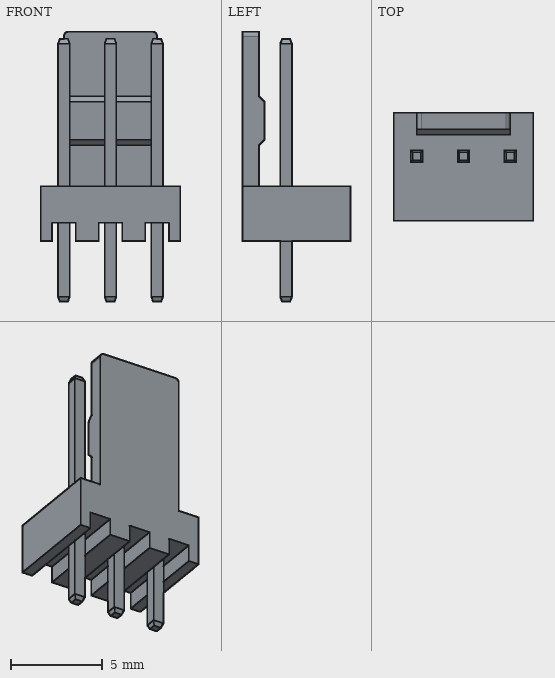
import cadquery as cq

pin_count = 3
pitch = 2.54
base_width = pin_count * pitch
base_depth = 5.9
base_height = 3.0
total_height = 14.7

slot_width = 1.28
slot_height = 1.0

pin_size = 0.65
pin_tip_size = 0.44
pin_taper = 0.26
pin_below_base = 3.3
pin_length = 14.3
pin_from_back = 2.38

tab_width = 2 * pitch
tab_thickness = 0.91
tab_corner_radius = 0.25

rib_projection = 0.3
rib_bottom = 2.22
rib_top = 4.9
rib_bevel = 0.3

back_y = base_depth / 2
pin_y = back_y - pin_from_back
pin_positions = [(i - (pin_count - 1) / 2) * pitch for i in range(pin_count)]


def make_base():
    base = cq.Workplane("XY").box(base_width, base_depth, base_height, centered=(True, True, False))
    for x in pin_positions:
        slot = cq.Workplane("XY").box(slot_width, base_depth, slot_height, centered=(True, True, False))
        base = base.cut(slot.translate((x, 0, 0)))
    return base


def make_tab():
    tab_height = total_height - pin_below_base - base_height
    tab = (
        cq.Workplane("XY")
        .box(tab_width, tab_thickness, tab_height, centered=(True, True, False))
        .edges("|Y and >Z")
        .fillet(tab_corner_radius)
        .translate((0, back_y - tab_thickness / 2, base_height))
    )
    tab_front = back_y - tab_thickness
    rib_front = tab_front - rib_projection
    low = base_height + rib_bottom
    high = base_height + rib_top
    rib = (
        cq.Workplane("YZ")
        .polyline([
            (back_y, low),
            (tab_front, low),
            (rib_front, low + rib_bevel),
            (rib_front, high - rib_bevel),
            (tab_front, high),
            (back_y, high),
        ])
        .close()
        .extrude(tab_width / 2, both=True)
    )
    return tab.union(rib)


def make_pin(x):
    shaft_length = pin_length - 2 * pin_taper
    bottom = cq.Workplane("XY").rect(pin_tip_size, pin_tip_size)
    bottom = bottom.workplane(offset=pin_taper).rect(pin_size, pin_size).loft(ruled=True)
    shaft = (
        cq.Workplane("XY")
        .box(pin_size, pin_size, shaft_length, centered=(True, True, False))
        .translate((0, 0, pin_taper))
    )
    top = bottom.mirror("XY").translate((0, 0, pin_length))
    return shaft.union(bottom).union(top).translate((x, pin_y, -pin_below_base))


result = make_base().union(make_tab())
for pin_x in pin_positions:
    result = result.union(make_pin(pin_x))